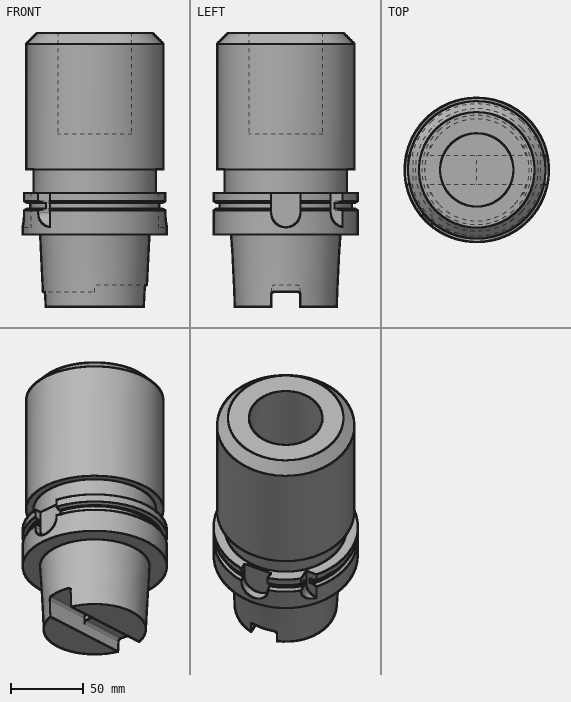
import cadquery as cq
import math

top_height = 139.7
shank_length = 50.0

body_diameter = 95.2
nose_diameter = 80.0
nose_chamfer = (body_diameter - nose_diameter) / 2
body_bottom = 45.2
neck_diameter = 85.0
bore_diameter = 50.8
bore_depth = 70.0

flange_diameter = 100.0
flange_height = 29.0
groove_center = 20.0
undercut_width = 3.75
undercut_diameter = 91.8
groove_root_diameter = 95.0
groove_wall_angle = 30.0

slot_width = 20.2
slot_end_height = 5.1
slot_floor_distance = 44.0

shank_top_diameter = 75.9
shank_taper = 0.1
drive_slot_width = 20.0
minus_x_slot_depth = 10.4
plus_x_slot_depth = 15.0
drive_slot_fillet = 2.0


def revolved_holder():
    """Solid of revolution: shank, flange with groove, neck and body."""
    flange_radius = flange_diameter / 2
    undercut_radius = undercut_diameter / 2
    root_radius = groove_root_diameter / 2
    shank_top_radius = shank_top_diameter / 2
    shank_end_radius = shank_top_radius - shank_length * shank_taper / 2
    undercut_low = groove_center - undercut_width / 2
    undercut_high = groove_center + undercut_width / 2
    wall_rise = (flange_radius - root_radius) * math.tan(math.radians(groove_wall_angle))

    outline = [
        (0, -shank_length),
        (shank_end_radius, -shank_length),
        (shank_top_radius, 0),
        (flange_radius, 0),
        (flange_radius, undercut_low - wall_rise),
        (root_radius, undercut_low),
        (undercut_radius, undercut_low),
        (undercut_radius, undercut_high),
        (root_radius, undercut_high),
        (flange_radius, undercut_high + wall_rise),
        (flange_radius, flange_height),
        (neck_diameter / 2, flange_height),
        (neck_diameter / 2, body_bottom),
        (body_diameter / 2, body_bottom),
        (body_diameter / 2, top_height - nose_chamfer),
        (nose_diameter / 2, top_height),
        (0, top_height),
    ]
    return cq.Workplane("XZ").polyline(outline).close().revolve(360, (0, 0), (0, 1))


def bore():
    """Blind bore entering from the top face."""
    return (
        cq.Workplane("XY")
        .workplane(offset=top_height - bore_depth)
        .circle(bore_diameter / 2)
        .extrude(bore_depth)
    )


def flange_slot(floor_distance, center_y):
    """Slot on the +X side, open at the flange top, with a half-round lower end."""
    half_width = slot_width / 2
    arc_center_height = slot_end_height + half_width
    return (
        cq.Workplane("YZ")
        .workplane(offset=floor_distance)
        .moveTo(center_y - half_width, flange_height)
        .lineTo(center_y - half_width, arc_center_height)
        .threePointArc((center_y, slot_end_height), (center_y + half_width, arc_center_height))
        .lineTo(center_y + half_width, flange_height)
        .close()
        .extrude(flange_diameter / 2)
    )


def half_turn(shape):
    """Copy of a shape turned to the opposite side of the Z axis."""
    return shape.rotate((0, 0, 0), (0, 0, 1), 180)


def index_notch():
    """Two-walled notch in the -X -Y quadrant, its inner corner as far from the axis as the slot floors."""
    corner_offset = slot_floor_distance / math.sqrt(2)
    slot_center = corner_offset + slot_width / 2
    return half_turn(flange_slot(corner_offset, slot_center))


def drive_slot(depth):
    """Slot in the shank end, running from the axis out through the +X side."""
    return (
        cq.Workplane("XY")
        .box(shank_top_diameter / 2, drive_slot_width, depth, centered=(False, True, False))
        .edges("|X and >Z")
        .fillet(drive_slot_fillet)
        .translate((0, 0, -shank_length))
    )


side_slot = flange_slot(slot_floor_distance, 0)

result = (
    revolved_holder()
    .cut(bore())
    .cut(side_slot)
    .cut(half_turn(side_slot))
    .cut(index_notch())
    .cut(drive_slot(plus_x_slot_depth))
    .cut(half_turn(drive_slot(minus_x_slot_depth)))
)